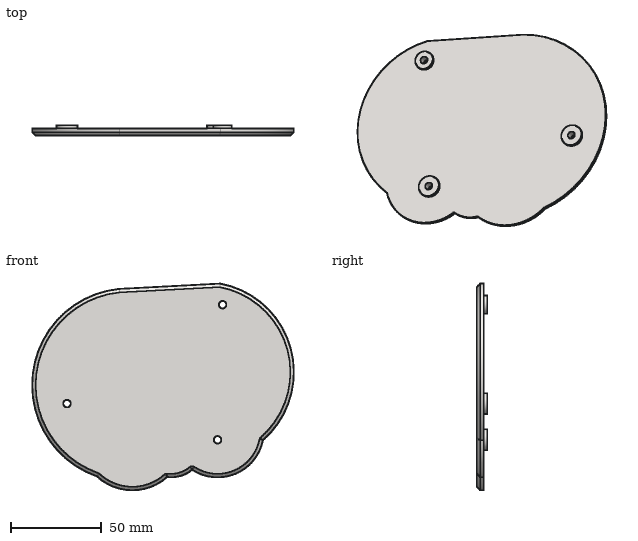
import cadquery as cq
import math

plate_thickness = 4.0
bevel_depth = 2.0
bevel_angle = 45.0
boss_height = 1.8
total_thickness = plate_thickness + boss_height
screw_hole_diameter = 4.0

top_left = (-24.23, 54.14)
top_right = (31.45, 57.08)
right_notch = (55.18, -29.46)
centre_notch = (16.03, -45.79)
left_notch = (2.21, -49.83)
lower_left = (-36.49, -49.46)

right_radius = 49.8
right_lobe_radius = 25.56
centre_lobe_radius = 17.86
left_lobe_radius = 28.69
left_radius = 53.42

large_boss_diameter = 11.7
small_boss_diameter = 10.2
bosses = [
    (32.87, 45.36, small_boss_diameter),
    (-53.03, -9.23, large_boss_diameter),
    (30.09, -29.23, large_boss_diameter),
]


def bulge_height(start, end, radius):
    """Rise above its chord of an arc of at most half a turn."""
    half_chord = math.dist(start, end) / 2
    return radius - math.sqrt(radius**2 - half_chord**2)


def make_outline(y):
    """Closed plate outline in the XZ plane at the given Y."""
    arcs = [
        (right_notch, right_radius),
        (centre_notch, right_lobe_radius),
        (left_notch, centre_lobe_radius),
        (lower_left, left_lobe_radius),
        (top_left, left_radius),
    ]
    outline = cq.Workplane("XZ", origin=(0, y, 0)).moveTo(*top_left).lineTo(*top_right)
    start = top_right
    for end, radius in arcs:
        outline = outline.sagittaArc(end, bulge_height(start, end, radius))
        start = end
    return outline.close()


def make_plate():
    """Straight rim at the back, bevelled inward to the front face."""
    bevelled_front = make_outline(bevel_depth).extrude(bevel_depth, taper=bevel_angle)
    straight_back = make_outline(bevel_depth).extrude(bevel_depth - plate_thickness)
    return bevelled_front.union(straight_back)


def cylinder_from_front(x, z, diameter):
    """Cylinder along Y from the front face to the boss tops."""
    return cq.Workplane("XZ").center(x, z).circle(diameter / 2).extrude(-total_thickness)


result = make_plate()
for boss_x, boss_z, boss_diameter in bosses:
    result = result.union(cylinder_from_front(boss_x, boss_z, boss_diameter))
    result = result.cut(cylinder_from_front(boss_x, boss_z, screw_hole_diameter))